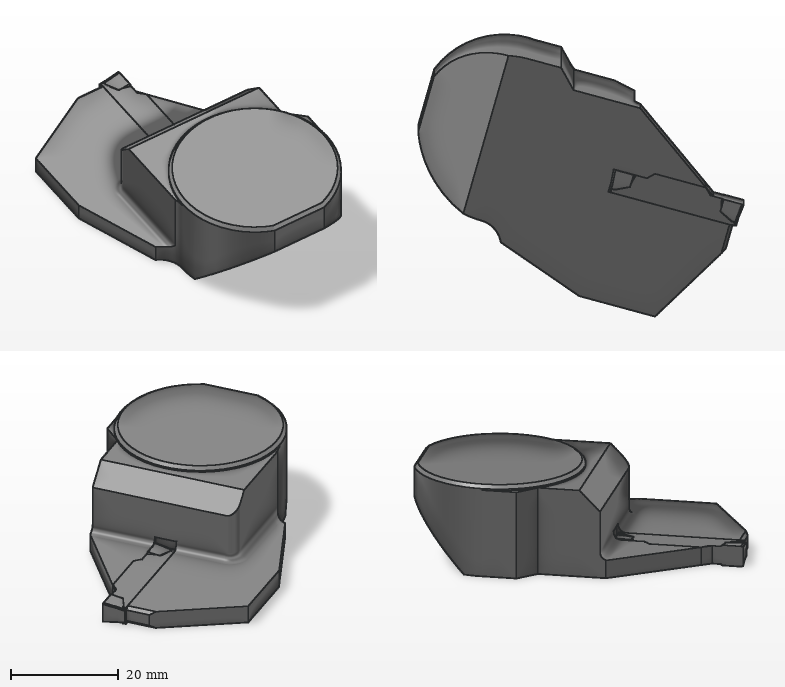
import cadquery as cq
import math


overall_length = 61.1

head_radius = 16.0
head_top = 17.8
head_chamfer = 0.7
head_flat_x = 15.05
bevel_height = 11.5

block_left = -21.55
block_front = -16.4
block_back = 12.5
block_top = 16.8
block_chamfer = 3.9
corner_radius = 2.0
base_fillet = 1.5

shoulder_left = -6.5
shoulder_foot = -9.85

blade_thickness = 3.5
blade_left = -45.15
blade_left_front = -9.05
blade_front = -25.0
blade_front_left = -35.9
blade_front_right = -21.4
blade_neck = (-4.6, -19.0)
blade_back_corner = -22.65
blade_back_tip = -40.2
blade_edge_chamfer = 0.6

insert_half_length = 12.5
insert_middle = insert_half_length - (overall_length - head_flat_x)
insert_depth = 4.4
tip_setback = 0.25
tip_break_y = -2.8
ridge_height = 1.2
ridge_half_foot = 6.1
ridge_half_top = 4.9
pad_length = 3.85
pad_side_y = -2.45
pad_nose_y = -3.7
pad_nose_start = 1.3
pad_nose_end = 0.7
pad_rise = 0.25
pad_drop = 0.6
ramp_length = 0.4
land_width = 0.35
land_drop = 0.1
pocket_top = 5.15

head_size = 2 * head_radius


def holder_outline():
    """Plan outline of the holder: blade, block, shoulder and round head."""
    neck_x, neck_y = blade_neck
    neck_drop = -head_radius - neck_y
    neck_radius = (neck_x**2 + neck_drop**2) / (2 * neck_drop)
    half_angle = math.asin(-neck_x / neck_radius) / 2
    neck_middle = (
        -neck_radius * math.sin(half_angle),
        -head_radius - neck_radius * (1 - math.cos(half_angle)),
    )
    return (
        cq.Workplane("XY")
        .moveTo(blade_left, 0)
        .lineTo(blade_left, blade_left_front)
        .lineTo(blade_front_left, blade_front)
        .lineTo(blade_front_right, blade_front)
        .lineTo(*blade_neck)
        .threePointArc(neck_middle, (0, -head_radius))
        .threePointArc((head_radius, 0), (0, head_radius))
        .lineTo(shoulder_left, head_radius)
        .lineTo(shoulder_foot, block_back)
        .lineTo(blade_back_corner, block_back)
        .lineTo(blade_back_tip, 0)
        .close()
    )


def block_chamfer_cut():
    """Prism removed by the 45 degree chamfer along the top of the block's -X side."""
    return (
        cq.Workplane("XZ")
        .polyline([
            (block_left, block_top - block_chamfer),
            (block_left, block_top),
            (block_left + block_chamfer, block_top),
        ])
        .close()
        .extrude(head_size, both=True)
    )


def stepped_stock():
    """Oversized blade and block with their fillets and chamfers, before trimming to the outline."""
    blade = cq.Workplane("XY").box(
        head_radius - blade_left, 2 * head_size, blade_thickness, centered=(False, True, False)
    ).translate((blade_left, 0, 0))
    blade = blade.edges("<X and |Y").chamfer(blade_edge_chamfer)
    block = cq.Workplane("XY").box(
        head_radius - block_left, head_size - block_front, block_top, centered=False
    ).translate((block_left, block_front, 0))
    block = block.edges("<X and <Y and |Z").fillet(corner_radius).cut(block_chamfer_cut())
    foot_height = cq.selectors.BoxSelector(
        (block_left - 0.6, block_front - 0.6, blade_thickness - 0.05),
        (head_radius - 0.6, head_size - 0.6, blade_thickness + 0.05),
    )
    return blade.union(block).edges(foot_height).fillet(base_fillet)


def head_disc():
    """Raised disc on top of the head, with a flat side and a chamfered rim."""
    disc = cq.Workplane("XY").workplane(offset=block_top).circle(head_radius).extrude(head_top - block_top)
    beyond_flat = cq.Workplane("XY").box(
        head_size, 2 * head_size, 2 * head_size, centered=(False, True, True)
    ).translate((head_flat_x, 0, 0))
    return disc.cut(beyond_flat).faces(">Z").edges().chamfer(head_chamfer)


def head_side_cut():
    """Material outside the flat and the bevel on the +X side of the head."""
    return (
        cq.Workplane("XZ")
        .polyline([
            (head_flat_x - bevel_height, 0),
            (head_flat_x, bevel_height),
            (head_flat_x, head_top),
            (head_size, head_top),
            (head_size, 0),
        ])
        .close()
        .extrude(head_size, both=True)
    )


def insert_outline():
    """Plan outline of the insert, with its middle at X = 0 and its cutting edges at Y = 0."""
    side = [
        (insert_half_length - tip_setback, -insert_depth),
        (insert_half_length - tip_setback, tip_break_y),
        (insert_half_length, 0),
        (ridge_half_foot, 0),
        (ridge_half_top, ridge_height),
    ]
    mirrored = [(-x, y) for x, y in reversed(side)]
    return cq.Workplane("XY").polyline(side + mirrored).close()


def tip_region():
    """Full-height prism over the pad at the -X tip of the insert."""
    tip = -insert_half_length
    tip_front = tip + tip_setback
    return (
        cq.Workplane("XY")
        .workplane(offset=-pad_rise)
        .polyline([
            (tip, 0),
            (tip + pad_length, 0),
            (tip + pad_length, pad_side_y),
            (tip + pad_nose_start, pad_nose_y),
            (tip + pad_nose_end, pad_nose_y),
            (tip + pad_nose_end, -insert_depth),
            (tip_front, -insert_depth),
            (tip_front, tip_break_y),
        ])
        .close()
        .extrude(blade_thickness + 2 * pad_rise)
    )


def tip_taper():
    """Wedge, thickest at the cutting edge, that limits the upper and lower pads."""
    low = -pad_rise
    high = blade_thickness + pad_rise
    return (
        cq.Workplane("YZ")
        .polyline([
            (0, low),
            (0, high),
            (-insert_depth, high - pad_drop),
            (-insert_depth, low + pad_drop),
        ])
        .close()
        .extrude(head_size, both=True)
    )


def broken_tip_edges(tip_block):
    """Break the upper and lower edges of the end face of the -X tip."""
    end_zone = cq.selectors.BoxSelector(
        (-insert_half_length - land_width, tip_break_y, -head_top),
        (-insert_half_length + land_width, -land_width, head_top),
    )
    return tip_block.edges(end_zone).edges("not |Z").chamfer(land_drop, land_width)


def pad_ramp():
    """Tetrahedron that slopes from the side of the upper -X pad to the insert face."""
    pad_side = pad_length - insert_half_length
    level_y = -insert_depth * pad_rise / pad_drop
    inner = cq.Vector(pad_side, 0, blade_thickness)
    outer = cq.Vector(pad_side + ramp_length, 0, blade_thickness)
    front = cq.Vector(pad_side, level_y, blade_thickness)
    crest = cq.Vector(pad_side, 0, blade_thickness + pad_rise)
    triangles = [
        (inner, front, outer),
        (inner, outer, crest),
        (inner, crest, front),
        (outer, front, crest),
    ]
    faces = [cq.Face.makeFromWires(cq.Wire.makePolygon(corners, close=True)) for corners in triangles]
    return cq.Workplane(cq.Solid.makeSolid(cq.Shell.makeShell(faces)))


def make_insert():
    insert = insert_outline().extrude(blade_thickness)
    middle_plane = (0, 0, blade_thickness / 2)
    left_region = tip_region()
    left_tip = broken_tip_edges(left_region.intersect(tip_taper()))
    upper_ramp = pad_ramp()
    lower_ramp = upper_ramp.mirror("XY", middle_plane)
    ramps = [upper_ramp, lower_ramp, upper_ramp.mirror("YZ"), lower_ramp.mirror("YZ")]
    for region, tip in (
        (left_region, left_tip),
        (left_region.mirror("YZ"), left_tip.mirror("YZ")),
    ):
        insert = insert.cut(region).union(tip)
    for ramp in ramps:
        insert = insert.union(ramp)
    return insert.translate((insert_middle, 0, 0))


def make_holder():
    body = holder_outline().extrude(block_top).intersect(stepped_stock())
    pocket = insert_outline().extrude(pocket_top).translate((insert_middle, 0, 0))
    return body.union(head_disc()).cut(head_side_cut()).cut(pocket)


holder = make_holder()
insert = make_insert()
result = cq.Compound.makeCompound([holder.solids().val(), insert.solids().val()])